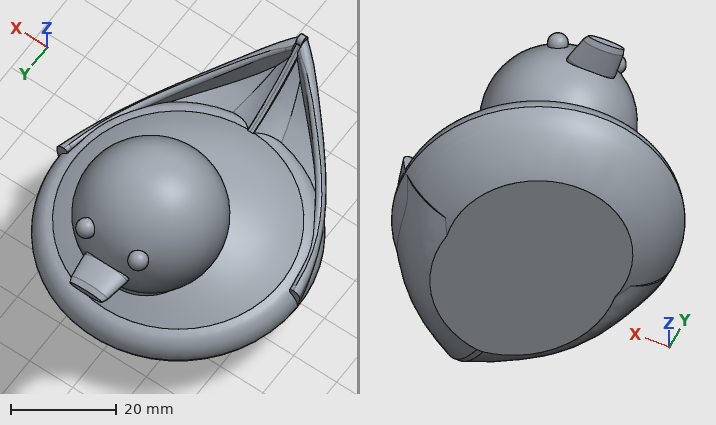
import cadquery as cq
import math

BODY_RADIUS = 27.8
BODY_BASE_RADIUS = 17.9
BODY_WIDEST_Z = 10.1
BODY_LOWER_BULGE = 1.4
SHOULDER_RADIUS = 4.9
DOME_RADIUS = 23.8
DOME_RISE = 8.5

HEAD_RADIUS = 15.0
OVERALL_HEIGHT = 44.87
HEAD_Y = 8.9
HEAD_Z = OVERALL_HEIGHT - HEAD_RADIUS
NECK_RADIUS = 11.1
NECK_TOP_Z = 20.1

EYE_RADIUS = 2.0
EYE_X = 6.05
EYE_Y = 21.5
EYE_Z = 36.4

BEAK_Z = 30.2
BEAK_ROOT_Y = 21.0
BEAK_BASE_Y = 23.7
BEAK_EDGE_Y = 28.9
BEAK_TIP_Y = 30.1
BEAK_BASE_SIZE = (10.0, 3.9)
BEAK_EDGE_SIZE = (8.4, 2.6)
BEAK_TIP_SIZE = (7.4, 1.5)

OVERALL_LENGTH = 71.42
OVERALL_WIDTH = 56.49
TAIL_REACH = BEAK_TIP_Y - OVERALL_LENGTH
KEEL_HALF_WIDTH = 0.65
KEEL_FRONT_Y = -8.0
KEEL_RADIUS = 28.0
KEEL_CENTRE_Z = 25.0
TIP_SHOULDER_Z = 26.0
TIP_CREST = (-39.8, 27.2)
STERN_HALF_WIDTH = OVERALL_WIDTH / 2
STERN_SIDE_RADIUS = 14.3
STERN_WIDEST_Z = 14.0
BASE_BULGE = 7.0
RIM_BULGE = 4.3
BULGE_SETTLED_Z = 18.0
STERN_LEVELS = (0, 3, 6.5, 10, 14, 18, 24, 32)
FRONT_OVERRUN = 2.0
WALL = 2.4
KEEL_WALL = 3.4
OUTER_RIM_ROUND = 1.5
INNER_RIM_ROUND = 0.8
RIM_LINE = ((0, 15.2), (-10.8, 14.2), (-17.6, 14.9), (-28.7, 19.4), (-34.9, 23.4), (-42, 28.4))
FLOOR_LINE = (
    (3, 7, 12.8, 12.2),
    (-16, 7, 13.2, 12.6),
    (-24, 6, 15.4, 13.2),
    (-32, 4, 19.6, 16.6),
    (-39.5, 1.5, 25.4, 24.5),
)
RIDGE_SHARE = 0.35

CLEAR_Z = 60.0
CLEAR_X = 40.0
CLEAR_Y = 50.0


def drop(radius, offset):
    """How far a circle falls away from its tangent at a given offset."""
    return radius - math.sqrt(radius**2 - offset**2)


def make_body():
    run = BODY_RADIUS - BODY_BASE_RADIUS
    length = math.hypot(run, BODY_WIDEST_Z)
    lower_mid = (
        BODY_BASE_RADIUS + run / 2 + BODY_LOWER_BULGE * BODY_WIDEST_Z / length,
        BODY_WIDEST_Z / 2 - BODY_LOWER_BULGE * run / length,
    )
    shoulder_centre = BODY_RADIUS - SHOULDER_RADIUS
    shoulder_mid = (
        shoulder_centre + SHOULDER_RADIUS * math.cos(math.pi / 4),
        BODY_WIDEST_Z + SHOULDER_RADIUS * math.sin(math.pi / 4),
    )
    rim_rise = math.sqrt(SHOULDER_RADIUS**2 - (DOME_RADIUS - shoulder_centre) ** 2)
    dome_base_z = BODY_WIDEST_Z + rim_rise
    dome_top_z = dome_base_z + DOME_RISE
    dome_sphere = (DOME_RADIUS**2 + DOME_RISE**2) / (2 * DOME_RISE)
    dome_mid = (DOME_RADIUS / 2, dome_top_z - drop(dome_sphere, DOME_RADIUS / 2))
    return (
        cq.Workplane("YZ")
        .lineTo(BODY_BASE_RADIUS, 0)
        .threePointArc(lower_mid, (BODY_RADIUS, BODY_WIDEST_Z))
        .threePointArc(shoulder_mid, (DOME_RADIUS, dome_base_z))
        .threePointArc(dome_mid, (0, dome_top_z))
        .close()
        .revolve(360, (0, 0), (0, 1))
    )


def make_head():
    head = cq.Workplane().sphere(HEAD_RADIUS).translate((0, HEAD_Y, HEAD_Z))
    neck = cq.Workplane().circle(NECK_RADIUS).extrude(NECK_TOP_Z - BODY_WIDEST_Z)
    neck = neck.translate((0, HEAD_Y, BODY_WIDEST_Z))
    head = head.union(neck)
    for side in (-1, 1):
        eye = cq.Workplane().sphere(EYE_RADIUS).translate((side * EYE_X, EYE_Y, EYE_Z))
        head = head.union(eye)
    return head


def beak_section(y, size):
    plane = cq.Plane(origin=(0, y, BEAK_Z), xDir=(1, 0, 0), normal=(0, -1, 0))
    return cq.Workplane(plane).ellipse(size[0] / 2, size[1] / 2).wires().val()


def make_beak():
    sections = [
        beak_section(BEAK_ROOT_Y, BEAK_BASE_SIZE),
        beak_section(BEAK_BASE_Y, BEAK_BASE_SIZE),
        beak_section(BEAK_EDGE_Y, BEAK_EDGE_SIZE),
        beak_section(BEAK_TIP_Y, BEAK_TIP_SIZE),
    ]
    return cq.Workplane(cq.Solid.makeLoft(sections, True))


def stern_section(z, side_inset, keel_inset):
    """Half of the stern's pointed-arch outline at height z, optionally set inward."""
    side_x = STERN_HALF_WIDTH - drop(STERN_SIDE_RADIUS, max(STERN_WIDEST_Z - z, 0)) - side_inset
    keel_y = TAIL_REACH + drop(KEEL_RADIUS, max(KEEL_CENTRE_Z - z, 0)) + keel_inset
    bulge = RIM_BULGE + (BASE_BULGE - RIM_BULGE) * max(1 - z / BULGE_SETTLED_Z, 0)
    run = side_x - KEEL_HALF_WIDTH
    length = math.hypot(run, keel_y)
    mid_x = (side_x + KEEL_HALF_WIDTH) / 2 - bulge * keel_y / length
    mid_y = keel_y / 2 - bulge * run / length
    return (
        cq.Workplane(origin=(0, 0, z))
        .moveTo(KEEL_HALF_WIDTH, FRONT_OVERRUN)
        .lineTo(side_x, FRONT_OVERRUN)
        .lineTo(side_x, 0)
        .threePointArc((mid_x, mid_y), (KEEL_HALF_WIDTH, keel_y))
        .close()
        .wires()
        .val()
    )


def stern_solid(side_inset, keel_inset):
    sections = [stern_section(z, side_inset, keel_inset) for z in STERN_LEVELS]
    return cq.Workplane(cq.Solid.makeLoft(sections))


def above_rim():
    """Space over the swooping rim line."""
    return (
        cq.Workplane("YZ")
        .moveTo(*RIM_LINE[0])
        .spline(RIM_LINE[1:], includeCurrent=True)
        .lineTo(-CLEAR_Y, CLEAR_Z)
        .lineTo(FRONT_OVERRUN, CLEAR_Z)
        .lineTo(FRONT_OVERRUN, RIM_LINE[0][1])
        .close()
        .extrude(CLEAR_X, both=True)
    )


def above_floor():
    """Space over the pocket floor, which falls from a central ridge to the wall."""
    sections = []
    for y, valley_x, ridge_z, side_z in FLOOR_LINE:
        plane = cq.Plane(origin=(0, y, 0), xDir=(1, 0, 0), normal=(0, -1, 0))
        flank_mid = (valley_x / 2, side_z + RIDGE_SHARE * (ridge_z - side_z))
        section = (
            cq.Workplane(plane)
            .moveTo(0, ridge_z)
            .threePointArc(flank_mid, (valley_x, side_z))
            .lineTo(CLEAR_X, side_z)
            .lineTo(CLEAR_X, CLEAR_Z)
            .lineTo(0, CLEAR_Z)
            .close()
        )
        sections.append(section.wires().val())
    return cq.Workplane(cq.Solid.makeLoft(sections))


def rim_edges(side):
    """Long edges along the top of a wall, the inner one first."""
    found = []
    for edge in side.edges().vals():
        box = edge.BoundingBox()
        if box.zmin > RIM_LINE[1][1] - INNER_RIM_ROUND / 2 and box.xlen > STERN_HALF_WIDTH / 2:
            found.append(edge)
    return sorted(found, key=lambda edge: edge.BoundingBox().xmax)


def make_side():
    """The +X half of the stern: outer wall, rounded rim and the pocket behind the body."""
    ahead = cq.Workplane().box(2 * CLEAR_X, CLEAR_Y, 2 * CLEAR_Z).translate((0, CLEAR_Y / 2, 0))
    stern = stern_solid(0, 0).cut(ahead).cut(above_rim())
    pocket = stern_solid(WALL, KEEL_WALL).intersect(above_floor())
    side = stern.cut(pocket)
    side = side.newObject(rim_edges(side)[-1:]).fillet(OUTER_RIM_ROUND)
    return side.newObject(rim_edges(side)[:1]).fillet(INNER_RIM_ROUND)


def make_keel():
    """Flat strip joining the two sides, from the base up to its rounded tip."""
    base_y = TAIL_REACH + drop(KEEL_RADIUS, KEEL_CENTRE_Z)
    mid_z = KEEL_CENTRE_Z / 2
    mid_y = TAIL_REACH + drop(KEEL_RADIUS, KEEL_CENTRE_Z - mid_z)
    ridge = [(y, ridge_z) for y, _, ridge_z, _ in reversed(FLOOR_LINE)]
    return (
        cq.Workplane("YZ")
        .moveTo(KEEL_FRONT_Y, 0)
        .lineTo(base_y, 0)
        .threePointArc((mid_y, mid_z), (TAIL_REACH, KEEL_CENTRE_Z))
        .lineTo(TAIL_REACH, TIP_SHOULDER_Z)
        .threePointArc(TIP_CREST, ridge[0])
        .spline(ridge[1:-1], includeCurrent=True)
        .lineTo(KEEL_FRONT_Y, ridge[-2][1])
        .close()
        .extrude(KEEL_HALF_WIDTH, both=True)
    )


def make_duck():
    side = make_side()
    duck = make_body().union(make_keel())
    duck = duck.union(side)
    duck = duck.union(side.mirror("YZ"))
    return duck.union(make_head()).union(make_beak())


result = make_duck()